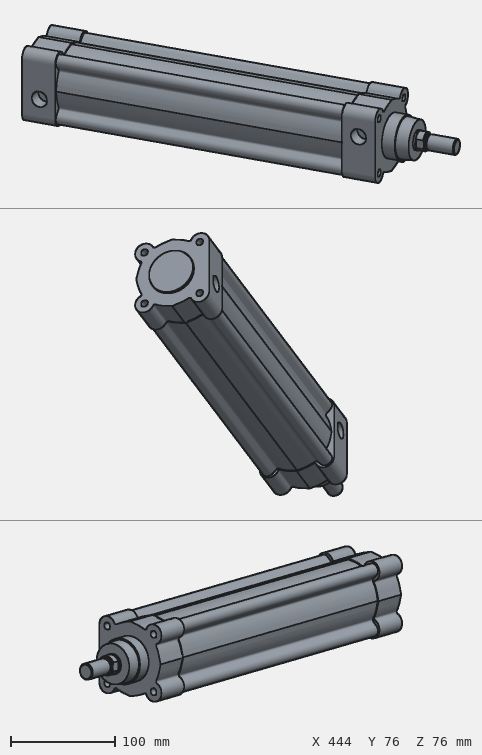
import cadquery as cq
import math


overall_length = 444.0

cap_size = 76.0
bolt_offset = 28.25
cap_lobe_radius = cap_size / 2 - bolt_offset
cap_radius = 35.8
cap_roof_angle = 14.0
cap_valley_fillet = 2.0
cap_length = 35.0
bolt_hole_diameter = 7.0
bolt_hole_depth = 16.0
port_diameter = 16.0
port_depth = 15.0
port_offset = 10.0
rear_port_x = 18.5
front_port_setback = 17.5

barrel_length = 302.0
barrel_radius = 35.0
barrel_roof_angle = 10.0
barrel_rib_radius = 6.6
barrel_reach = 36.0
barrel_rib_offset = barrel_reach - barrel_rib_radius
barrel_valley_fillet = 2.2

collar_diameter = 45.0
rear_collar_length = 3.0
front_collar_length = 13.5
nose_diameter = 42.0
nose_end_diameter = 40.0
nose_straight_length = 2.7
nose_taper_length = 10.8

rod_diameter = 20.0
rod_stub_length = 2.2
shank_diameter = 19.2
shank_length = 8.8
shank_chamfer = 1.0
flat_width = 17.0
flat_setback = 0.5
neck_diameter = 14.0
neck_length = 1.5
thread_diameter = 16.0
thread_chamfer = 1.0

barrel_start = cap_length
front_cap_start = barrel_start + barrel_length
front_cap_end = front_cap_start + cap_length
front_collar_end = front_cap_end + front_collar_length
nose_taper_start = front_collar_end + nose_straight_length
rod_start = nose_taper_start + nose_taper_length
shank_start = rod_start + rod_stub_length
shank_end = shank_start + shank_length
rod_end = overall_length - rear_collar_length

corner_angles = (45, 135, 225, 315)


def corner_points(offset):
    """Four points at the corners of a square about the cylinder axis."""
    return [(y, z) for y in (-offset, offset) for z in (-offset, offset)]


def section_plane(x):
    """Plane across the cylinder axis, with local axes along Y and Z and its normal along +X."""
    return cq.Workplane("YZ", origin=(x, 0, 0))


def quarter_turned(y, z, turns):
    """The point (y, z) turned about the cylinder axis by a number of quarter turns."""
    for _ in range(turns):
        y, z = -z, y
    return (y, z)


def ridged_core(x, length, radius, roof_angle):
    """Round core whose four sides each rise over two tangent flats to a shallow ridge."""
    slope = math.radians(roof_angle)
    ridge = radius / math.cos(slope)
    tangent_out = radius * math.cos(slope)
    tangent_side = radius * math.sin(slope)
    diagonal = radius / math.sqrt(2)
    outline = section_plane(x).moveTo(ridge, 0)
    for turn in range(4):
        arc_start = quarter_turned(tangent_out, tangent_side, turn)
        arc_middle = quarter_turned(diagonal, diagonal, turn)
        arc_end = quarter_turned(tangent_side, tangent_out, turn)
        next_ridge = quarter_turned(0, ridge, turn)
        outline = outline.lineTo(*arc_start).threePointArc(arc_middle, arc_end).lineTo(*next_ridge)
    return outline.close().extrude(length)


def round_valleys(prism, middle_x, distance, half_angle, fillet_radius):
    """Round the eight valley edges, which lie half_angle to either side of each corner diagonal."""
    for corner in corner_angles:
        for side in (-1, 1):
            angle = math.radians(corner) + side * half_angle
            valley = (middle_x, distance * math.cos(angle), distance * math.sin(angle))
            prism = prism.edges(cq.selectors.NearestToPointSelector(valley)).fillet(fillet_radius)
    return prism


def cap_block(x):
    """Ridged core with a round lobe about each bolt and a flat port side at -Y."""
    core = ridged_core(x, cap_length, cap_radius, cap_roof_angle)
    lobes = section_plane(x).pushPoints(corner_points(bolt_offset)).circle(cap_lobe_radius)
    lobe_distance = math.hypot(bolt_offset, bolt_offset)
    valley_along = (cap_radius**2 - cap_lobe_radius**2 + lobe_distance**2) / (2 * lobe_distance)
    valley_half_angle = math.acos(valley_along / cap_radius)
    block = round_valleys(
        core.union(lobes.extrude(cap_length)),
        x + cap_length / 2,
        cap_radius,
        valley_half_angle,
        cap_valley_fillet,
    )
    port_side = section_plane(x).center(-cap_size / 4, 0).rect(cap_size / 2, 2 * bolt_offset)
    return block.union(port_side.extrude(cap_length))


def end_cap(x, outer_face_x, inward, port_x, port_z):
    """Cap with one port and four blind bolt holes in its outer face."""
    bolt_holes = section_plane(outer_face_x).pushPoints(corner_points(bolt_offset))
    bolt_holes = bolt_holes.circle(bolt_hole_diameter / 2).extrude(inward * bolt_hole_depth)
    port = cq.Workplane("XZ", origin=(port_x, -cap_size / 2, port_z)).circle(port_diameter / 2)
    return cap_block(x).cut(bolt_holes).cut(port.extrude(-port_depth))


def make_rear_cap():
    cap = end_cap(0, 0, 1, rear_port_x, -port_offset)
    collar = section_plane(-rear_collar_length).circle(collar_diameter / 2).extrude(rear_collar_length)
    return cap.union(collar)


def make_front_cap():
    port_x = front_cap_start + front_port_setback
    cap = end_cap(front_cap_start, front_cap_end, -1, port_x, port_offset)
    collar = section_plane(front_cap_end).circle(collar_diameter / 2).extrude(front_collar_length)
    nose = section_plane(front_collar_end).circle(nose_diameter / 2).extrude(nose_straight_length)
    taper = (
        section_plane(nose_taper_start)
        .circle(nose_diameter / 2)
        .workplane(offset=nose_taper_length)
        .circle(nose_end_diameter / 2)
        .loft()
    )
    return cap.union(collar).union(nose).union(taper)


def make_barrel():
    """Ridged core with a round-nosed rib along each corner diagonal."""
    prism = ridged_core(barrel_start, barrel_length, barrel_radius, barrel_roof_angle)
    rib_span = 2 * math.hypot(barrel_rib_offset, barrel_rib_offset) + 2 * barrel_rib_radius
    for angle in corner_angles[:2]:
        rib_pair = section_plane(barrel_start).slot2D(rib_span, 2 * barrel_rib_radius, angle)
        prism = prism.union(rib_pair.extrude(barrel_length))
    valley_half_angle = math.asin(barrel_rib_radius / barrel_radius)
    middle_x = barrel_start + barrel_length / 2
    return round_valleys(prism, middle_x, barrel_radius, valley_half_angle, barrel_valley_fillet)


def make_rod():
    """Full-diameter stub, shank with wrench flats facing -Y and +Y, relief neck and plain thread."""
    stub = section_plane(rod_start).circle(rod_diameter / 2).extrude(rod_stub_length)
    shank = section_plane(shank_start).circle(shank_diameter / 2).extrude(shank_length)
    shank = shank.faces(">X").chamfer(shank_chamfer)
    flat_start = shank_start + flat_setback
    for side in (-1, 1):
        cutter_y = side * (flat_width + rod_diameter) / 2
        cutter = section_plane(flat_start).center(cutter_y, 0).rect(rod_diameter, rod_diameter)
        shank = shank.cut(cutter.extrude(shank_end - flat_start))
    neck = section_plane(shank_end).circle(neck_diameter / 2).extrude(neck_length)
    thread_start = shank_end + neck_length
    thread = section_plane(thread_start).circle(thread_diameter / 2).extrude(rod_end - thread_start)
    thread = thread.faces("<X or >X").chamfer(thread_chamfer)
    return stub.union(shank).union(neck).union(thread)


rear_cap = make_rear_cap()
barrel = make_barrel()
front_cap = make_front_cap()
rod = make_rod()

result = cq.Compound.makeCompound([rear_cap.val(), barrel.val(), front_cap.val(), rod.val()])